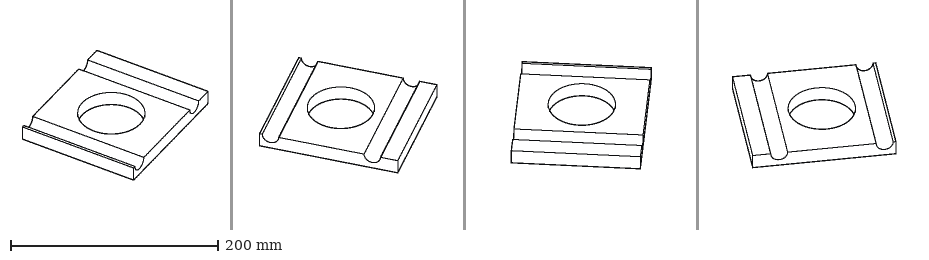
import cadquery as cq

width = 125.0
length = 140.0
thickness = 15.0

opening_diameter = 65.0
opening_y = -7.4

groove_diameter = 16.5
groove_spacing = 103.0


def make_plate():
    """Rectangular plate centred in X and Y, with its bottom at Z = 0."""
    return cq.Workplane("XY").box(width, length, thickness, centered=(True, True, False))


def make_opening():
    """Cylinder that cuts the round opening."""
    return cq.Workplane("XY").center(0, opening_y).circle(opening_diameter / 2).extrude(thickness)


def make_groove(groove_y):
    """Full-width cylinder whose axis lies in the top face."""
    return (
        cq.Workplane("YZ", origin=(-width / 2, 0, 0))
        .center(groove_y, thickness)
        .circle(groove_diameter / 2)
        .extrude(width)
    )


result = make_plate().cut(make_opening())
for side in (-1, 1):
    result = result.cut(make_groove(opening_y + side * groove_spacing / 2))